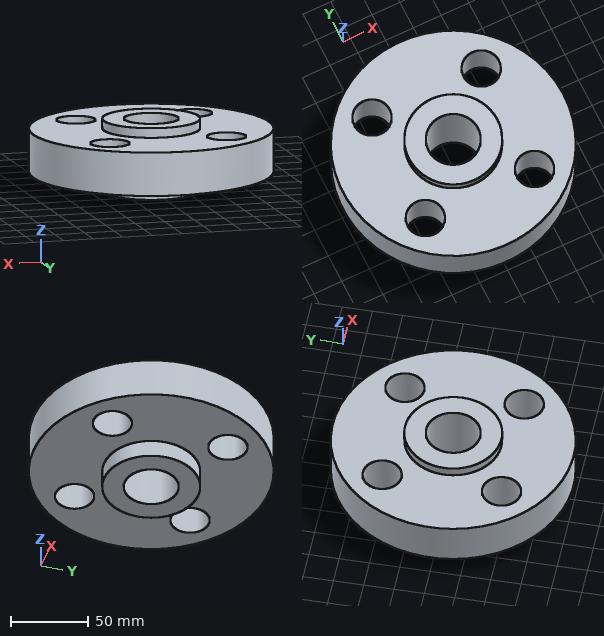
import cadquery as cq

flange_diameter = 158.75
flange_thickness = 28.7

hub_diameter = 63.5
raised_face_height = 6.35
overall_height = 47.5
hub_height = overall_height - flange_thickness - raised_face_height

bore_diameter = 35.6
bolt_hole_diameter = 25.4
bolt_circle_diameter = 111.25
bolt_hole_count = 4
first_bolt_angle = 45


def cylinder(diameter, bottom, height):
    """Upright cylinder on the Z axis, starting at the given height."""
    return cq.Workplane("XY").workplane(offset=bottom).circle(diameter / 2).extrude(height)


def bolt_holes():
    """Cutters for the bolt holes, evenly spaced on the bolt circle."""
    return (
        cq.Workplane("XY")
        .polarArray(bolt_circle_diameter / 2, first_bolt_angle, 360, bolt_hole_count)
        .circle(bolt_hole_diameter / 2)
        .extrude(overall_height)
    )


core = cylinder(hub_diameter, 0, overall_height)
disc = cylinder(flange_diameter, hub_height, flange_thickness)
bore = cylinder(bore_diameter, 0, overall_height)

result = core.union(disc).cut(bore).cut(bolt_holes())